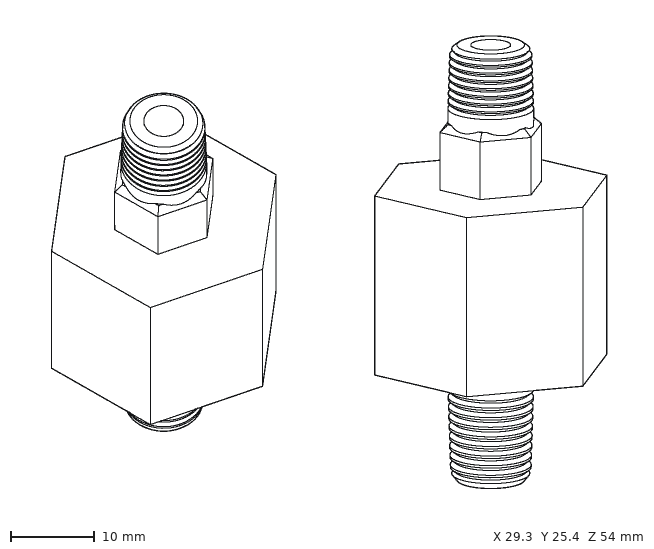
import cadquery as cq
import math

HOUSING_FLATS = 25.4
HOUSING_HEIGHT = 22.225
LOWER_STEM_LENGTH = 14.27

TOTAL_LENGTH = 53.95
FITTING_FLATS = 11.11
FITTING_HEX_HEIGHT = 7.14
HEX_TAPER_RISE = 0.87
HEX_TAPER_INSET = 0.87
FITTING_LENGTH = TOTAL_LENGTH - HOUSING_HEIGHT - LOWER_STEM_LENGTH

STEM_RADIUS = 10.29 / 2
TAPER_PER_LENGTH = 1 / 32
GROOVE_DEPTH = 0.55
TIP_RADIUS = 4.05
TIP_RIM_RADIUS = 4.68

UPPER_THREAD_LENGTH = 7.85
UPPER_PLAIN_LENGTH = FITTING_LENGTH - UPPER_THREAD_LENGTH
UPPER_PITCH = 0.952
UPPER_GROOVE_WIDTH = 0.75
UPPER_GROOVES = 8
UPPER_CHAMFER_LENGTH = 0.48

LOWER_PLAIN_LENGTH = 3.07
LOWER_PITCH = 1.203
LOWER_GROOVE_WIDTH = 0.9
LOWER_GROOVES = 9
LOWER_CHAMFER_LENGTH = 0.8

BORE_RADIUS = 4.76 / 2
OUTLET_RADIUS = 3.05 / 2
DRILL_POINT_ANGLE = 118
DRILL_POINT_HEIGHT = (BORE_RADIUS - OUTLET_RADIUS) / math.tan(math.radians(DRILL_POINT_ANGLE / 2))


def hexagon_diameter(flats):
    """Corner-to-corner diameter of a hexagon; the corners lie on the X axis."""
    return flats / math.cos(math.pi / 6)


def revolve_profile(points):
    """Solid of revolution about Z from (radius, height) points."""
    return cq.Workplane("XZ").polyline(points).close().revolve(360, (0, 0), (0, 1))


def threaded_stem(length, plain_length, pitch, groove_width, groove_count, chamfer_length):
    """Stem rising from z = 0: plain cylinder, ring-grooved taper, chamfered tip."""

    def crest_radius(z):
        return STEM_RADIUS - TAPER_PER_LENGTH * (z - plain_length)

    profile = [(0, 0), (STEM_RADIUS, 0)]
    for index in range(groove_count):
        start = plain_length + index * pitch
        root = start + groove_width / 2
        profile.append((crest_radius(start), start))
        profile.append((crest_radius(root) - GROOVE_DEPTH, root))
        if index < groove_count - 1:
            end = start + groove_width
            profile.append((crest_radius(end), end))
    profile.append((TIP_RIM_RADIUS, length - chamfer_length))
    profile.append((TIP_RADIUS, length))
    profile.append((0, length))
    return revolve_profile(profile)


def make_housing():
    block = cq.Workplane("XY").polygon(6, hexagon_diameter(HOUSING_FLATS)).extrude(HOUSING_HEIGHT)
    stem = threaded_stem(
        LOWER_STEM_LENGTH,
        LOWER_PLAIN_LENGTH,
        LOWER_PITCH,
        LOWER_GROOVE_WIDTH,
        LOWER_GROOVES,
        LOWER_CHAMFER_LENGTH,
    )
    stem = stem.rotate((0, 0, 0), (1, 0, 0), 180)
    outlet = (
        cq.Workplane("XY")
        .workplane(offset=-LOWER_STEM_LENGTH)
        .circle(OUTLET_RADIUS)
        .extrude(LOWER_STEM_LENGTH + HOUSING_HEIGHT)
    )
    return block.union(stem).cut(outlet)


def fitting_bore():
    """Bore with its drill point at the bottom face of the fitting."""
    return revolve_profile(
        [
            (0, 0),
            (OUTLET_RADIUS, 0),
            (BORE_RADIUS, DRILL_POINT_HEIGHT),
            (BORE_RADIUS, FITTING_LENGTH),
            (0, FITTING_LENGTH),
        ]
    )


def make_fitting():
    corner_diameter = hexagon_diameter(FITTING_FLATS)
    hexagon = cq.Workplane("XY").polygon(6, corner_diameter).extrude(FITTING_HEX_HEIGHT)
    taper_angle = math.degrees(math.atan2(HEX_TAPER_INSET, HEX_TAPER_RISE))
    shoulder = (
        cq.Workplane("XY")
        .workplane(offset=FITTING_HEX_HEIGHT)
        .polygon(6, corner_diameter)
        .extrude(HEX_TAPER_RISE, taper=taper_angle)
    )
    stem = threaded_stem(
        FITTING_LENGTH,
        UPPER_PLAIN_LENGTH,
        UPPER_PITCH,
        UPPER_GROOVE_WIDTH,
        UPPER_GROOVES,
        UPPER_CHAMFER_LENGTH,
    )
    return hexagon.union(shoulder).union(stem).cut(fitting_bore())


housing = make_housing()
fitting = make_fitting().translate((0, 0, HOUSING_HEIGHT))

result = cq.Compound.makeCompound([housing.val(), fitting.val()])